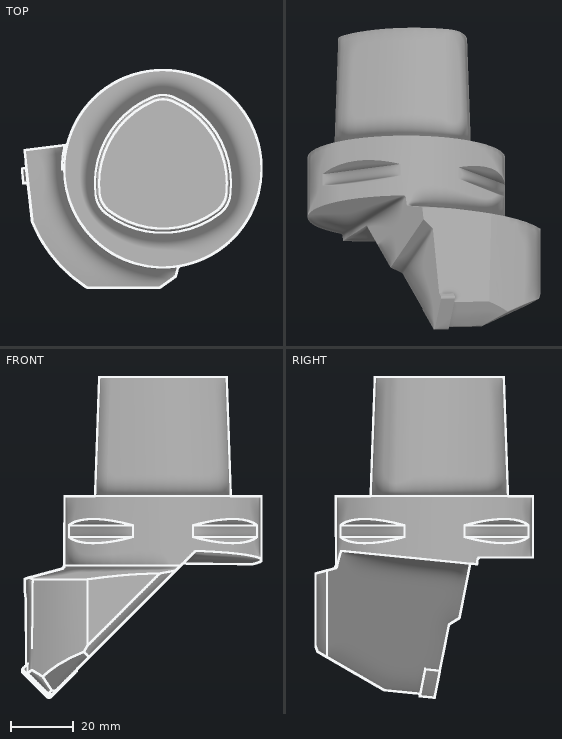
import cadquery as cq
import math


SHANK_LENGTH = 38.0
SHANK_LOBE_RADIUS = 23.5
SHANK_SIDE_RADIUS = 20.45
SHANK_JOINT_RADIUS = 23.0
SHANK_JOINT_ANGLE = 9.0
SHANK_SHRINK = 1.35
LOBE_PITCH = 120.0
LOBE_ANGLES = (90.0, 210.0, 330.0)

FLANGE_RADIUS = 63.0 / 2
FLANGE_BOTTOM = -19.6
SHOULDER_CORNER = -22.9
SHOULDER_ANGLE = 15.0
SHOULDER_FILLET = 1.0
UNDERSIDE_HEIGHT = -20.4

GROOVE_HEIGHT = -11.15
GROOVE_FLOOR_WIDTH = 3.7
GROOVE_FLOOR_DISTANCE = 28.0
GROOVE_FLANK_ANGLE = 30.0
GROOVE_ANGLES = (45.0, 135.0, 225.0, 315.0)

INSERT_SIDE = 12.7
INSERT_THICKNESS = 4.76
INSERT_CORNER_RADIUS = 0.8
RAKE_TILT = 8.0
INSERT_TIP = (-36.36, 0.0, -64.63)

NOSE_RADIUS = 45.0
NOSE_BOTTOM = -70.0
NOSE_FRONT = -38.0
SIDE_POINT = (-43.45, 0.0, -27.0)
SIDE_SLOPE_Y = 0.112
SIDE_SLOPE_Z = 0.008
INSERT_OVERHANG = 0.3
TIP_BEVEL = 1.6
EDGE_CHAMFER_DEPTH = 3.0
EDGE_CHAMFER_WIDTH = 3.7
HEEL_HEIGHT = -49.2
HEEL_ANGLE = 30.0

UPPER_FACE_RISE = 2.92
UPPER_FACE_FILLET = 0.8
STEP_POINT = (-28.25, -37.0)
STEP_DIRECTION = -14.6
STEP_WALL_ANGLE = 45.0
STEP_FILLET = 1.0

REACH = 200.0

RAKE_SLOPE = math.tan(math.radians(RAKE_TILT)) / math.sqrt(2)
RAKE_NORMAL = cq.Vector(-RAKE_SLOPE, 1, -RAKE_SLOPE).normalized()
EDGE_DIRECTION = cq.Vector(-1, 0, 1).normalized()
INSERT_PLANE = cq.Plane(origin=INSERT_TIP, xDir=EDGE_DIRECTION, normal=RAKE_NORMAL)


def rake_height(x, z):
    """Y of the insert face plane above a point of the XZ plane."""
    tip_x, tip_y, tip_z = INSERT_TIP
    return tip_y + RAKE_SLOPE * (x - tip_x + z - tip_z)


def polar(radius, angle):
    return (radius * math.cos(math.radians(angle)), radius * math.sin(math.radians(angle)))


def half_space(point, outward):
    """Block covering everything beyond the plane through point, on the outward side."""
    plane = cq.Plane(origin=tuple(point), normal=tuple(outward))
    return cq.Workplane(plane).rect(2 * REACH, 2 * REACH).extrude(REACH)


def insert_direction(x, y):
    """World direction of a vector lying in the insert face."""
    return INSERT_PLANE.xDir * x + INSERT_PLANE.yDir * y


def insert_point(x, y):
    return INSERT_PLANE.toWorldCoords((x, y, 0)).toTuple()


def shank_outline(work, shrink):
    """Three-lobed outline of six arcs: a tight one at each lobe and a wide one on each side."""
    joint = SHANK_JOINT_RADIUS - shrink
    work = work.moveTo(*polar(joint, LOBE_ANGLES[0] - SHANK_JOINT_ANGLE))
    for lobe in LOBE_ANGLES:
        lobe_end = polar(joint, lobe + SHANK_JOINT_ANGLE)
        side_middle = polar(SHANK_SIDE_RADIUS - shrink, lobe + LOBE_PITCH / 2)
        side_end = polar(joint, lobe + LOBE_PITCH - SHANK_JOINT_ANGLE)
        work = work.threePointArc(polar(SHANK_LOBE_RADIUS - shrink, lobe), lobe_end)
        work = work.threePointArc(side_middle, side_end)
    return work.close()


def make_shank():
    base = shank_outline(cq.Workplane("XY"), 0)
    ends = shank_outline(base.workplane(offset=SHANK_LENGTH), SHANK_SHRINK)
    return ends.loft(ruled=True, combine=True)


def make_blank():
    """Revolved flange, shoulder and nose before trimming."""
    slope = math.radians(SHOULDER_ANGLE)
    turn = math.radians(90 - SHOULDER_ANGLE)
    tangent = SHOULDER_FILLET * math.tan(turn / 2)
    fillet_centre = (FLANGE_RADIUS + SHOULDER_FILLET, SHOULDER_CORNER + tangent)
    fillet_middle = (
        fillet_centre[0] - SHOULDER_FILLET * math.cos(turn / 2),
        fillet_centre[1] - SHOULDER_FILLET * math.sin(turn / 2),
    )
    fillet_end = (
        FLANGE_RADIUS + tangent * math.cos(slope),
        SHOULDER_CORNER - tangent * math.sin(slope),
    )
    shoulder_edge = SHOULDER_CORNER - (NOSE_RADIUS - FLANGE_RADIUS) * math.tan(slope)
    return (
        cq.Workplane("XZ")
        .lineTo(FLANGE_RADIUS, 0)
        .lineTo(FLANGE_RADIUS, fillet_centre[1])
        .threePointArc(fillet_middle, fillet_end)
        .lineTo(NOSE_RADIUS, shoulder_edge)
        .lineTo(NOSE_RADIUS, NOSE_BOTTOM)
        .lineTo(0, NOSE_BOTTOM)
        .close()
        .revolve(360, (0, 0, 0), (0, 1, 0))
    )


def nose_underside():
    """Region beyond the 45 degree underside and below the sloped flange underside."""
    beyond_nose = half_space(insert_point(INSERT_OVERHANG, 0), -EDGE_DIRECTION)
    below_flange = half_space((0, 0, UNDERSIDE_HEIGHT), (0, -RAKE_SLOPE, -1))
    return beyond_nose.intersect(below_flange)


def nose_edge_chamfer():
    """Chamfer where the 45 degree underside meets the front flat."""
    underside = cq.Vector(*insert_point(INSERT_OVERHANG, 0))
    start = cq.Vector(underside.x, NOSE_FRONT + EDGE_CHAMFER_WIDTH, underside.z)
    outward = -EDGE_DIRECTION * EDGE_CHAMFER_WIDTH - cq.Vector(0, EDGE_CHAMFER_DEPTH, 0)
    return half_space(start, outward)


def trim_nose(body):
    slope = math.radians(HEEL_ANGLE)
    heel = half_space((0, NOSE_FRONT, HEEL_HEIGHT), (0, -math.sin(slope), -math.cos(slope)))
    clearance = half_space(insert_point(0, INSERT_OVERHANG), insert_direction(0, -1))
    bevel = half_space(insert_point(TIP_BEVEL, 0), insert_direction(-1, -1))
    below_grooves = half_space((0, 0, FLANGE_BOTTOM), (0, 0, -1))
    side = half_space(SIDE_POINT, (-1, -SIDE_SLOPE_Y, SIDE_SLOPE_Z)).intersect(below_grooves)
    front = half_space((0, NOSE_FRONT, 0), (0, -1, 0))
    chamfer = nose_edge_chamfer().intersect(below_grooves)
    for cutter in (front, side, nose_underside(), chamfer, heel, clearance, bevel):
        body = body.cut(cutter)
    return body


def upper_chip_clearance():
    """Region above the upper rake-side face and below the flange, with its inner corner rounded."""
    corner = (0, rake_height(0, FLANGE_BOTTOM) + UPPER_FACE_RISE, FLANGE_BOTTOM)
    along = cq.Vector(1, RAKE_SLOPE, 0).normalized()
    section = cq.Plane(origin=corner, xDir=cq.Vector(0, 0, 1).cross(along), normal=along)
    lean = RAKE_SLOPE / math.hypot(1, RAKE_SLOPE)
    region = (
        cq.Workplane(section)
        .polyline([(0, 0), (REACH, 0), (REACH, -REACH), (-lean * REACH, -REACH)])
        .close()
        .extrude(REACH, both=True)
    )
    return region.edges(cq.selectors.NearestToPointSelector(corner)).fillet(UPPER_FACE_FILLET)


def lower_chip_clearance():
    """Region level with the insert face, ending at a sloped wall with a rounded root."""
    root_x, root_z = STEP_POINT
    root = cq.Vector(root_x, rake_height(root_x, root_z), root_z)
    slope = math.tan(math.radians(STEP_DIRECTION))
    along = cq.Vector(1, RAKE_SLOPE * (1 + slope), slope).normalized()
    up_face = along.cross(RAKE_NORMAL)
    section = cq.Plane(origin=root.toTuple(), xDir=up_face, normal=-along)
    rise = UPPER_FACE_RISE * 2
    run = rise / math.tan(math.radians(STEP_WALL_ANGLE))
    region = (
        cq.Workplane(section)
        .polyline([(0, 0), (run, rise), (-REACH, rise), (-REACH, 0)])
        .close()
        .extrude(REACH, both=True)
    )
    return region.edges(cq.selectors.NearestToPointSelector(root.toTuple())).fillet(STEP_FILLET)


def gripper_groove(angle):
    """Straight groove with a flat floor and sloped flanks, across the flange rim."""
    depth = FLANGE_RADIUS - GROOVE_FLOOR_DISTANCE
    floor = GROOVE_FLOOR_WIDTH / 2
    mouth = floor + depth * math.tan(math.radians(GROOVE_FLANK_ANGLE))
    return (
        cq.Workplane("XZ")
        .polyline([
            (GROOVE_FLOOR_DISTANCE, GROOVE_HEIGHT - floor),
            (FLANGE_RADIUS, GROOVE_HEIGHT - mouth),
            (FLANGE_RADIUS, GROOVE_HEIGHT + mouth),
            (GROOVE_FLOOR_DISTANCE, GROOVE_HEIGHT + floor),
        ])
        .close()
        .extrude(FLANGE_RADIUS, both=True)
        .rotate((0, 0, 0), (0, 0, 1), angle)
    )


def make_insert():
    centre = INSERT_SIDE / 2
    return (
        cq.Workplane(INSERT_PLANE)
        .center(centre, centre)
        .rect(INSERT_SIDE, INSERT_SIDE)
        .extrude(-INSERT_THICKNESS)
        .edges(cq.selectors.ParallelDirSelector(RAKE_NORMAL))
        .fillet(INSERT_CORNER_RADIUS)
    )


def make_holder(insert):
    body = trim_nose(make_blank())
    body = body.cut(upper_chip_clearance()).cut(lower_chip_clearance())
    for angle in GROOVE_ANGLES:
        body = body.cut(gripper_groove(angle))
    return body.union(make_shank()).cut(insert)


cutting_insert = make_insert()
holder = make_holder(cutting_insert)

result = cq.Compound.makeCompound([holder.val(), cutting_insert.val()])